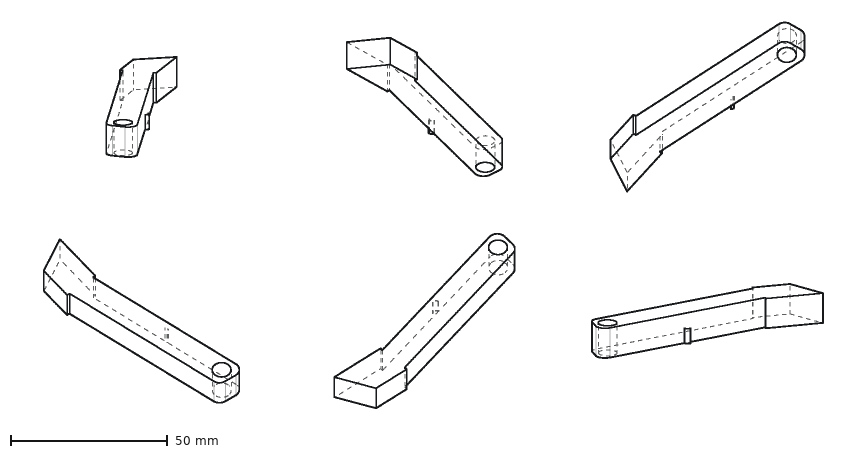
import cadquery as cq
import math

total_length = 78.85
total_width = 26.2
thickness = 10.0

head_width = 12.0
head_left_top = 71.35
head_left_bottom = 58.8
head_right_bottom = 59.85

arm_width = 10.0
arm_lean = math.radians(15)
corner_radius = 3.0

hole_diameter = 6.0
hole_x = 21.0
hole_y = 4.5

hook_x = 18.8
hook_y = 31.8
hook_radius = 1.1
hook_wall = 0.15
hook_height = thickness / 2
hook_start_angle = math.radians(-110)
hook_end_angle = math.radians(57)

arm_span = arm_width / math.cos(arm_lean)
right_setback = corner_radius * math.tan((math.pi / 2 + arm_lean) / 2)
arm_right_x = total_width - corner_radius + right_setback
arm_left_x = arm_right_x - arm_span


def along_arm(base_x, y):
    """Point at height y on the arm side that starts at base_x."""
    return (base_x - y * math.tan(arm_lean), y)


def make_head():
    return (
        cq.Workplane("XY")
        .polyline([
            (0, head_left_bottom),
            along_arm(arm_left_x, head_left_bottom),
            along_arm(arm_right_x, head_right_bottom),
            (head_width, head_right_bottom),
            (head_width, total_length),
            (0, head_left_top),
        ])
        .close()
        .extrude(thickness)
    )


def make_arm():
    arm = (
        cq.Workplane("XY")
        .polyline([
            (arm_left_x, 0),
            (arm_right_x, 0),
            along_arm(arm_right_x, head_right_bottom),
            along_arm(arm_left_x, head_left_bottom),
        ])
        .close()
        .extrude(thickness)
    )
    return arm.faces("<Y").edges("|Z").fillet(corner_radius)


def hook_point(radius, angle):
    return (hook_x + radius * math.cos(angle), hook_y + radius * math.sin(angle))


def make_hook():
    inner_radius = hook_radius - hook_wall
    middle_angle = (hook_start_angle + hook_end_angle) / 2
    return (
        cq.Workplane("XY")
        .moveTo(*hook_point(hook_radius, hook_start_angle))
        .threePointArc(hook_point(hook_radius, middle_angle), hook_point(hook_radius, hook_end_angle))
        .lineTo(*hook_point(inner_radius, hook_end_angle))
        .threePointArc(hook_point(inner_radius, middle_angle), hook_point(inner_radius, hook_start_angle))
        .close()
        .extrude(hook_height)
    )


pivot_hole = cq.Workplane("XY").center(hole_x, hole_y).circle(hole_diameter / 2).extrude(thickness)

result = make_head().union(make_arm()).union(make_hook()).cut(pivot_hole)